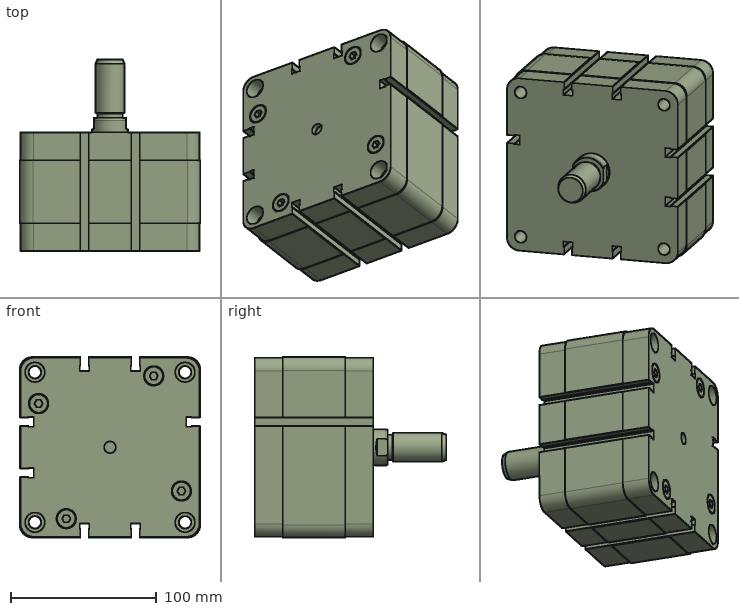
import cadquery as cq
import math

BARREL_WIDTH = 124.0
CAP_WIDTH = 123.0
CORNER_RADIUS = 9.0
CAP_LENGTH = 19.25
END_FACE_CHAMFER = 0.15
BARREL_LENGTH = 43.0
HOUSING_LENGTH = BARREL_LENGTH + 2 * CAP_LENGTH
END_FACE_Y = -HOUSING_LENGTH

SLOT_OFFSET = 17.5
SLOT_MOUTH_WIDTH = 5.7
SLOT_BASE_WIDTH = 6.5
SLOT_MOUTH_DEPTH = 6.0
SLOT_DEPTH = 9.65
SLOT_EDGE_CHAMFER = 0.2

MOUNT_OFFSET = 51.5
MOUNT_HOLE_DIAMETER = 8.38
COUNTERBORE_DIAMETER = 13.5
COUNTERBORE_DEPTH = 12.0

SCREW_X = 30.0
SCREW_Z = 49.0
SCREW_RECESS_DIAMETER = 13.5
SCREW_HEAD_DIAMETER = 12.5
SCREW_HEAD_HEIGHT = 8.0
SOCKET_ACROSS_FLATS = 5.0
SOCKET_DEPTH = 4.0

CENTRE_HOLE_DIAMETER = 8.0
CENTRE_HOLE_DEPTH = 4.0

ROD_DIAMETER = 25.0
ROD_CHAMFER_LENGTH = 1.6
ROD_CHAMFER_DEPTH = 0.5
SHOULDER_Y = 9.9
NECK_DIAMETER = 17.5
THREAD_DIAMETER = 20.0
THREAD_START_Y = 13.5
THREAD_RELIEF_LENGTH = 0.7
THREAD_TIP_LENGTH = 3.0
ROD_TIP_Y = 50.0

FLATS_WIDTH = 22.0
FLATS_END_Y = 2.6
RUNOUT_LENGTH = 0.9


def square_block(width, start_y, length):
    """Rounded square prism reaching from start_y towards -Y."""
    block = cq.Workplane("XZ", origin=(0, start_y, 0)).rect(width, width).extrude(length)
    return block.edges("|Y").fillet(CORNER_RADIUS)


def end_face_plane():
    """Sketch plane on the end face; a negative extrusion goes into the housing (+Y)."""
    return cq.Workplane("XZ", origin=(0, END_FACE_Y, 0))


def make_housing():
    rod_cap = square_block(CAP_WIDTH, 0, CAP_LENGTH)
    barrel = square_block(BARREL_WIDTH, -CAP_LENGTH, BARREL_LENGTH)
    end_cap = square_block(CAP_WIDTH, -CAP_LENGTH - BARREL_LENGTH, CAP_LENGTH)
    end_cap = end_cap.faces("<Y").chamfer(END_FACE_CHAMFER)
    return rod_cap.union(barrel).union(end_cap)


def slot_cutter(offset, turn):
    """Slot with chamfered edges in the +Z side at X = offset, turned about the rod axis."""
    outer = BARREL_WIDTH / 2
    lip = CAP_WIDTH / 2
    base = outer - SLOT_DEPTH
    neck = outer - SLOT_MOUTH_DEPTH
    half_mouth = SLOT_MOUTH_WIDTH / 2
    half_base = SLOT_BASE_WIDTH / 2
    half_entry = half_mouth + SLOT_EDGE_CHAMFER
    profile = [
        (offset - half_entry, outer),
        (offset - half_entry, lip),
        (offset - half_mouth, lip - SLOT_EDGE_CHAMFER),
        (offset - half_mouth, neck),
        (offset - half_base, neck),
        (offset - half_base, base),
        (offset + half_base, base),
        (offset + half_base, neck),
        (offset + half_mouth, neck),
        (offset + half_mouth, lip - SLOT_EDGE_CHAMFER),
        (offset + half_entry, lip),
        (offset + half_entry, outer),
    ]
    cutter = cq.Workplane("XZ").polyline(profile).close().extrude(HOUSING_LENGTH)
    return cutter.rotate((0, 0, 0), (0, 1, 0), turn)


def cut_slots(body):
    """Two slots in the top, bottom and -X sides, and only the upper one in the +X side."""
    top, right, bottom, left = 0, 90, 180, 270
    for turn in (top, right, bottom, left):
        for offset in (-SLOT_OFFSET, SLOT_OFFSET):
            if turn == right and offset > 0:
                continue
            body = body.cut(slot_cutter(offset, turn))
    return body


def cut_mounting_holes(body):
    corners = [(x, z) for x in (-MOUNT_OFFSET, MOUNT_OFFSET) for z in (-MOUNT_OFFSET, MOUNT_OFFSET)]
    face = end_face_plane().pushPoints(corners)
    body = body.cut(face.circle(MOUNT_HOLE_DIAMETER / 2).extrude(-HOUSING_LENGTH))
    return body.cut(face.circle(COUNTERBORE_DIAMETER / 2).extrude(-COUNTERBORE_DEPTH))


def cut_screw_heads(body):
    """Leave flush screw heads standing in ring gaps, each with a hexagon socket."""
    socket_across_corners = SOCKET_ACROSS_FLATS / math.cos(math.pi / 6)
    centre = end_face_plane().center(SCREW_X, SCREW_Z)
    ring = centre.circle(SCREW_RECESS_DIAMETER / 2).circle(SCREW_HEAD_DIAMETER / 2)
    gap = ring.extrude(-SCREW_HEAD_HEIGHT)
    socket = centre.polygon(6, socket_across_corners).extrude(-SOCKET_DEPTH)
    for quarter in range(4):
        axis_turn = 90 * quarter
        body = body.cut(gap.rotate((0, 0, 0), (0, 1, 0), axis_turn))
        angle = math.radians(axis_turn)
        x = SCREW_X * math.cos(angle) + SCREW_Z * math.sin(angle)
        z = SCREW_Z * math.cos(angle) - SCREW_X * math.sin(angle)
        body = body.cut(socket.translate((x - SCREW_X, 0, z - SCREW_Z)))
    return body


def cut_centre_hole(body):
    return body.cut(end_face_plane().circle(CENTRE_HOLE_DIAMETER / 2).extrude(-CENTRE_HOLE_DEPTH))


def make_rod():
    rod_radius = ROD_DIAMETER / 2
    neck_radius = NECK_DIAMETER / 2
    thread_radius = THREAD_DIAMETER / 2
    half_profile = [
        (0, -CAP_LENGTH),
        (rod_radius, -CAP_LENGTH),
        (rod_radius, SHOULDER_Y - ROD_CHAMFER_LENGTH),
        (rod_radius - ROD_CHAMFER_DEPTH, SHOULDER_Y),
        (neck_radius, SHOULDER_Y),
        (neck_radius, THREAD_START_Y - THREAD_RELIEF_LENGTH),
        (thread_radius, THREAD_START_Y),
        (thread_radius, ROD_TIP_Y - THREAD_TIP_LENGTH),
        (neck_radius, ROD_TIP_Y),
        (0, ROD_TIP_Y),
    ]
    rod = cq.Workplane("XY").polyline(half_profile).close().revolve(360, (0, 0, 0), (0, 1, 0))
    return cut_flats(rod)


def cut_flats(rod):
    """Two wrench flats facing +X and -X."""
    flat_x = FLATS_WIDTH / 2
    rod_radius = ROD_DIAMETER / 2
    profile = [
        (flat_x, SHOULDER_Y),
        (flat_x, FLATS_END_Y),
        (rod_radius, FLATS_END_Y - RUNOUT_LENGTH),
        (rod_radius, SHOULDER_Y),
    ]
    cutter = cq.Workplane("XY").polyline(profile).close().extrude(rod_radius, both=True)
    return rod.cut(cutter).cut(cutter.mirror("YZ"))


housing = cut_slots(make_housing())
housing = cut_mounting_holes(housing)
housing = cut_screw_heads(housing)
housing = cut_centre_hole(housing)
result = housing.union(make_rod())